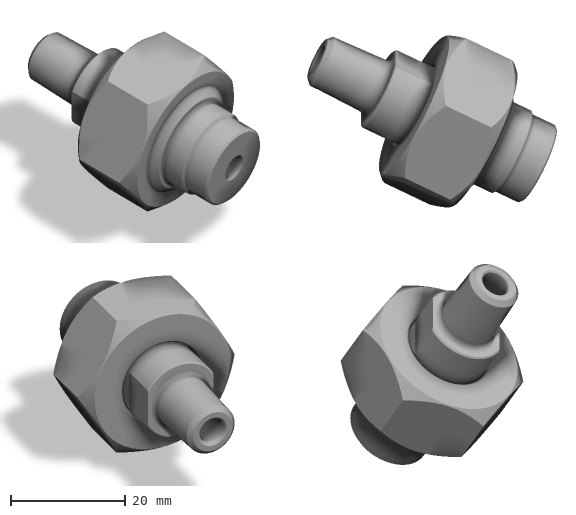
import cadquery as cq
import math

OVERALL_LENGTH = 43.5
BORE_RADIUS = 5.0 / 2
EDGE_CHAMFER = 0.25

NUT_START = 19.05
NUT_LENGTH = 13.5
NUT_END = NUT_START + NUT_LENGTH
NUT_ACROSS_FLATS = 27.0
NUT_CORNER_RADIUS = NUT_ACROSS_FLATS / math.sqrt(3)
NUT_CHAMFER = 2.25
NUT_FRONT_BORE_RADIUS = 15.5 / 2
NUT_BORE_CHAMFER = 0.3
NUT_MAIN_BORE_RADIUS = 20.9 / 2
NUT_LIP = 3.5

TIP_RADIUS = 3.85
TIP_CHAMFER = 0.85
BORE_CHAMFER = 0.3
TAPER_ON_DIAMETER = 1 / 16
COLLAR_START = 12.0
COLLAR_RADIUS = 15.0 / 2
COLLAR_FACE_INNER_RADIUS = 5.9
TAPER_END = 11.22
FLAT_HALF_WIDTH = 6.5
CUTTER_CLEARANCE = 0.45
FLANGE_START = NUT_START + NUT_LIP
FLANGE_LENGTH = 2.6
FLANGE_END = FLANGE_START + FLANGE_LENGTH
FLANGE_FILLET = NUT_FRONT_BORE_RADIUS - COLLAR_RADIUS

CONE_END = 33.97
CONE_END_RADIUS = NUT_MAIN_BORE_RADIUS - (CONE_END - NUT_END)
SHOULDER_RADIUS = 16.0 / 2
SHOULDER_FILLET = 0.52
SHOULDER_END = 38.45
SPIGOT_RADIUS = 15.0 / 2
SPIGOT_FILLET_LENGTH = 0.4
END_CHAMFER = 0.35


def revolve_about_x(profile):
    return profile.close().revolve(360, (0, 0, 0), (1, 0, 0))


def make_nut():
    hexagon = (
        cq.Workplane("YZ", origin=(NUT_START, 0, 0))
        .polygon(6, 2 * NUT_CORNER_RADIUS)
        .extrude(NUT_LENGTH)
    )
    face_radius = NUT_CORNER_RADIUS - NUT_CHAMFER
    envelope = revolve_about_x(
        cq.Workplane("XY")
        .moveTo(NUT_START, 0)
        .lineTo(NUT_START, face_radius)
        .lineTo(NUT_START + NUT_CHAMFER, NUT_CORNER_RADIUS)
        .lineTo(NUT_END - NUT_CHAMFER, NUT_CORNER_RADIUS)
        .lineTo(NUT_END, face_radius)
        .lineTo(NUT_END, 0)
    )
    bore = revolve_about_x(
        cq.Workplane("XY")
        .moveTo(NUT_START, 0)
        .lineTo(NUT_START, NUT_FRONT_BORE_RADIUS + NUT_BORE_CHAMFER)
        .lineTo(NUT_START + NUT_BORE_CHAMFER, NUT_FRONT_BORE_RADIUS)
        .lineTo(FLANGE_START, NUT_FRONT_BORE_RADIUS)
        .lineTo(FLANGE_START, NUT_MAIN_BORE_RADIUS)
        .lineTo(NUT_END, NUT_MAIN_BORE_RADIUS)
        .lineTo(NUT_END, 0)
    )
    return hexagon.intersect(envelope).cut(bore)


def make_wrench_flat_cutter(side):
    """Cutter for one flat, ending in a 45 degree ramp; side is +1 or -1 along Y."""
    reach = COLLAR_RADIUS - FLAT_HALF_WIDTH + CUTTER_CLEARANCE
    return (
        cq.Workplane("XY")
        .moveTo(COLLAR_START, side * FLAT_HALF_WIDTH)
        .lineTo(NUT_START, side * FLAT_HALF_WIDTH)
        .lineTo(NUT_START + reach, side * (FLAT_HALF_WIDTH + reach))
        .lineTo(COLLAR_START, side * (FLAT_HALF_WIDTH + reach))
        .close()
        .extrude(COLLAR_RADIUS, both=True)
    )


def make_tail():
    taper_start_radius = TIP_RADIUS + TIP_CHAMFER
    taper_run = TAPER_END - TIP_CHAMFER
    taper_end_radius = taper_start_radius + taper_run * TAPER_ON_DIAMETER / 2
    tail = revolve_about_x(
        cq.Workplane("XY")
        .moveTo(0, BORE_RADIUS + BORE_CHAMFER)
        .lineTo(0, TIP_RADIUS)
        .lineTo(TIP_CHAMFER, taper_start_radius)
        .lineTo(TAPER_END, taper_end_radius)
        .tangentArcPoint((COLLAR_START, COLLAR_FACE_INNER_RADIUS), relative=False)
        .lineTo(COLLAR_START, COLLAR_RADIUS - EDGE_CHAMFER)
        .lineTo(COLLAR_START + EDGE_CHAMFER, COLLAR_RADIUS)
        .lineTo(FLANGE_START - FLANGE_FILLET, COLLAR_RADIUS)
        .radiusArc((FLANGE_START, COLLAR_RADIUS + FLANGE_FILLET), -FLANGE_FILLET)
        .lineTo(FLANGE_START, NUT_MAIN_BORE_RADIUS)
        .lineTo(FLANGE_END, NUT_MAIN_BORE_RADIUS)
        .lineTo(FLANGE_END, BORE_RADIUS)
        .lineTo(BORE_CHAMFER, BORE_RADIUS)
    )
    for side in (1, -1):
        tail = tail.cut(make_wrench_flat_cutter(side))
    return tail


def make_end_piece():
    step_radius = SHOULDER_RADIUS - EDGE_CHAMFER
    return revolve_about_x(
        cq.Workplane("XY")
        .moveTo(FLANGE_END, BORE_RADIUS)
        .lineTo(FLANGE_END, NUT_MAIN_BORE_RADIUS)
        .lineTo(NUT_END, NUT_MAIN_BORE_RADIUS)
        .lineTo(CONE_END, CONE_END_RADIUS)
        .lineTo(CONE_END, SHOULDER_RADIUS + SHOULDER_FILLET)
        .radiusArc((CONE_END + SHOULDER_FILLET, SHOULDER_RADIUS), -SHOULDER_FILLET)
        .lineTo(SHOULDER_END - EDGE_CHAMFER, SHOULDER_RADIUS)
        .lineTo(SHOULDER_END, step_radius)
        .radiusArc((SHOULDER_END + SPIGOT_FILLET_LENGTH, SPIGOT_RADIUS), -SPIGOT_FILLET_LENGTH)
        .lineTo(OVERALL_LENGTH - END_CHAMFER, SPIGOT_RADIUS)
        .lineTo(OVERALL_LENGTH, SPIGOT_RADIUS - END_CHAMFER)
        .lineTo(OVERALL_LENGTH, BORE_RADIUS)
    )


nut = make_nut()
tail = make_tail()
end_piece = make_end_piece()

result = cq.Compound.makeCompound([nut.val(), tail.val(), end_piece.val()])